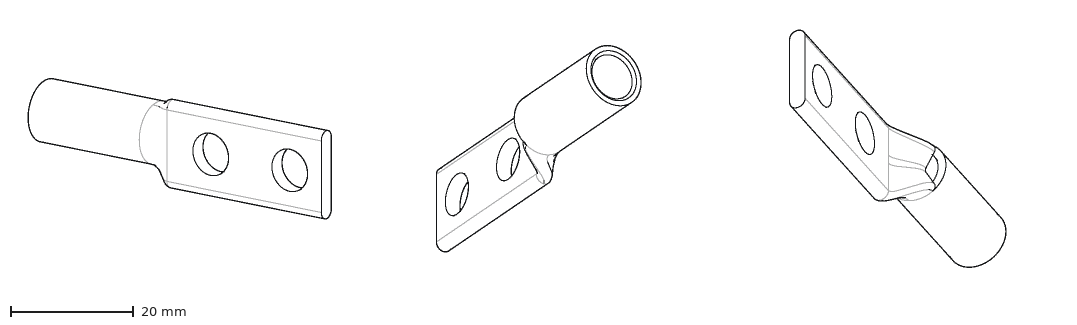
import cadquery as cq
import math

TOTAL_LENGTH = 58.93
BARREL_DIAMETER = 10.54
BARREL_LENGTH = 22.35
WALL = 1.42
PAD_LENGTH = 30.99
PAD_WIDTH = 14.98
ENTRY_CHAMFER = 0.52
HOLE_COUNT = 2
HOLE_DIAMETER = 7.14
HOLE_SPACING = 15.875
HOLE_TO_TIP = 6.35

FOLD_SLOPE = math.radians(30)
FOLD_APEX_Y = 1.40
CREASE_HALF_WIDTH = 0.4
SIDE_START_ANGLE = math.radians(-16)
LIP_START_ANGLE = math.radians(33)

NECK_STATIONS = 6
FLATTENING_DELAY = 1.1
BORE_DOME_DEPTH = 2.0
COLLINEAR_LIMIT = 1e-6

OUTER_RADIUS = BARREL_DIAMETER / 2
BORE_RADIUS = OUTER_RADIUS - WALL
PAD_THICKNESS = 2 * WALL
PAD_START = TOTAL_LENGTH - PAD_LENGTH
PAD_BOTTOM = -OUTER_RADIUS
PAD_TOP = PAD_BOTTOM + PAD_THICKNESS
PAD_MID = PAD_BOTTOM + WALL
PAD_FLAT_HALF = PAD_WIDTH / 2 - WALL
NECK_LENGTH = PAD_START - BARREL_LENGTH
INNER_FOLD_APEX_Y = FOLD_APEX_Y - WALL / math.cos(FOLD_SLOPE)


def polar(radius, angle, center=(0, 0)):
    """Point at an angle measured from +Z towards +Y."""
    return (center[0] + radius * math.sin(angle), center[1] + radius * math.cos(angle))


def mirror(point):
    """The same point on the -Z half of the outline."""
    return (point[0], -point[1])


def crease_points(apex_y):
    """End and middle of the arc that rounds the bottom of a fold, tangent to its flanks."""
    radius = CREASE_HALF_WIDTH / math.sin(FOLD_SLOPE)
    arc_end = (apex_y + CREASE_HALF_WIDTH * math.tan(FOLD_SLOPE), CREASE_HALF_WIDTH)
    arc_middle = (apex_y + radius / math.cos(FOLD_SLOPE) - radius, 0)
    return arc_end, arc_middle


def folded_points():
    """Half outline of the barrel circle with a rounded fold pressed into its +Y side."""
    lean = math.sin(FOLD_SLOPE - LIP_START_ANGLE)
    lip_radius = (FOLD_APEX_Y * math.cos(FOLD_SLOPE) + OUTER_RADIUS * lean) / (1 + lean)
    lip_center = polar(OUTER_RADIUS - lip_radius, LIP_START_ANGLE)
    lip_end_angle = math.pi / 2 + FOLD_SLOPE
    return [
        (-OUTER_RADIUS, 0),
        polar(OUTER_RADIUS, SIDE_START_ANGLE),
        polar(OUTER_RADIUS, (SIDE_START_ANGLE + LIP_START_ANGLE) / 2),
        polar(OUTER_RADIUS, LIP_START_ANGLE),
        polar(lip_radius, (LIP_START_ANGLE + lip_end_angle) / 2, lip_center),
        polar(lip_radius, lip_end_angle, lip_center),
        *crease_points(FOLD_APEX_Y),
    ]


def pad_points():
    """Half outline of the flat pad with its fully rounded long edge."""
    edge_center = (PAD_MID, PAD_FLAT_HALF)
    flank_end_z = folded_points()[-3][1]
    crease_half_width = CREASE_HALF_WIDTH * PAD_FLAT_HALF / flank_end_z
    return [
        (PAD_BOTTOM, 0),
        (PAD_BOTTOM, PAD_FLAT_HALF),
        polar(WALL, -math.pi / 4, edge_center),
        polar(WALL, 0, edge_center),
        polar(WALL, math.pi / 4, edge_center),
        (PAD_TOP, PAD_FLAT_HALF),
        (PAD_TOP, crease_half_width),
        (PAD_TOP, 0),
    ]


def smooth_step(t):
    """Rise from 0 to 1 that is level at both ends."""
    return t * t * (3 - 2 * t)


def neck_points(t):
    """Half outline of the neck at fraction t of its length, from folded tube to pad."""
    share = smooth_step(t ** FLATTENING_DELAY)
    return [
        (y0 + (y1 - y0) * share, z0 + (z1 - z0) * share)
        for (y0, z0), (y1, z1) in zip(folded_points(), pad_points())
    ]


def bend(x, start, middle, end):
    """Arc through three points, or a line where they are collinear."""
    first, second, third = [cq.Vector(x, y, z) for y, z in (start, middle, end)]
    turn = (second - first).cross(third - second).Length
    if turn < COLLINEAR_LIMIT:
        return cq.Edge.makeLine(first, third)
    return cq.Edge.makeThreePointArc(first, second, third)


def section_wire(x, half_outline):
    """Closed outline at X from the eight points of its +Z half."""
    bottom, corner, side, side_end, lip, lip_end, crease_end, crease = half_outline
    return cq.Wire.assembleEdges([
        bend(x, mirror(corner), bottom, corner),
        bend(x, corner, side, side_end),
        bend(x, side_end, lip, lip_end),
        cq.Edge.makeLine(cq.Vector(x, *lip_end), cq.Vector(x, *crease_end)),
        bend(x, crease_end, crease, mirror(crease_end)),
        cq.Edge.makeLine(cq.Vector(x, *mirror(crease_end)), cq.Vector(x, *mirror(lip_end))),
        bend(x, mirror(lip_end), mirror(lip), mirror(side_end)),
        bend(x, mirror(side_end), mirror(side), mirror(corner)),
    ])


def make_barrel():
    """Tube with a chamfered wire entry."""
    tube = cq.Workplane("YZ").circle(OUTER_RADIUS).circle(BORE_RADIUS).extrude(BARREL_LENGTH)
    entry_edge = tube.faces("<X").edges(cq.selectors.RadiusNthSelector(0))
    return entry_edge.chamfer(ENTRY_CHAMFER)


def make_bore_dome():
    """Spherical cap that closes the bore, trimmed by the inner face of the fold."""
    dome_tip = BARREL_LENGTH + BORE_DOME_DEPTH
    cap_half_angle = 2 * math.atan(BORE_DOME_DEPTH / BORE_RADIUS)
    cap_radius = BORE_RADIUS / math.sin(cap_half_angle)
    arc_middle_y, arc_middle_x = polar(cap_radius, cap_half_angle / 2, (0, dome_tip - cap_radius))
    cap = (
        cq.Workplane("XY")
        .moveTo(BARREL_LENGTH, 0)
        .lineTo(BARREL_LENGTH, BORE_RADIUS)
        .threePointArc((arc_middle_x, arc_middle_y), (dome_tip, 0))
        .close()
        .revolve(axisStart=(0, 0, 0), axisEnd=(1, 0, 0))
    )
    crease_end, crease_middle = crease_points(INNER_FOLD_APEX_Y)
    flank_end = (INNER_FOLD_APEX_Y + OUTER_RADIUS * math.tan(FOLD_SLOPE), OUTER_RADIUS)
    space_under_fold = (
        cq.Workplane("YZ", origin=(BARREL_LENGTH, 0, 0))
        .moveTo(-OUTER_RADIUS, -OUTER_RADIUS)
        .lineTo(*mirror(flank_end))
        .lineTo(*mirror(crease_end))
        .threePointArc(crease_middle, crease_end)
        .lineTo(*flank_end)
        .lineTo(-OUTER_RADIUS, OUTER_RADIUS)
        .close()
        .extrude(NECK_LENGTH)
    )
    return cap.intersect(space_under_fold)


def make_neck():
    """Transition that flattens the folded tube into the pad."""
    wires = []
    for station in range(NECK_STATIONS + 1):
        t = station / NECK_STATIONS
        wires.append(section_wire(BARREL_LENGTH + NECK_LENGTH * t, neck_points(t)))
    return cq.Workplane(cq.Solid.makeLoft(wires)).cut(make_bore_dome())


def make_pad():
    """Flat tongue with rounded long edges and a row of bolt holes."""
    profile = cq.Face.makeFromWires(section_wire(PAD_START, pad_points()))
    pad = cq.Workplane(cq.Solid.extrudeLinear(profile, cq.Vector(PAD_LENGTH, 0, 0)))
    for index in range(HOLE_COUNT):
        x = TOTAL_LENGTH - HOLE_TO_TIP - index * HOLE_SPACING
        hole_plane = cq.Workplane("XZ", origin=(x, PAD_TOP, 0))
        pad = pad.cut(hole_plane.circle(HOLE_DIAMETER / 2).extrude(PAD_THICKNESS))
    return pad


result = make_barrel().union(make_neck()).union(make_pad())